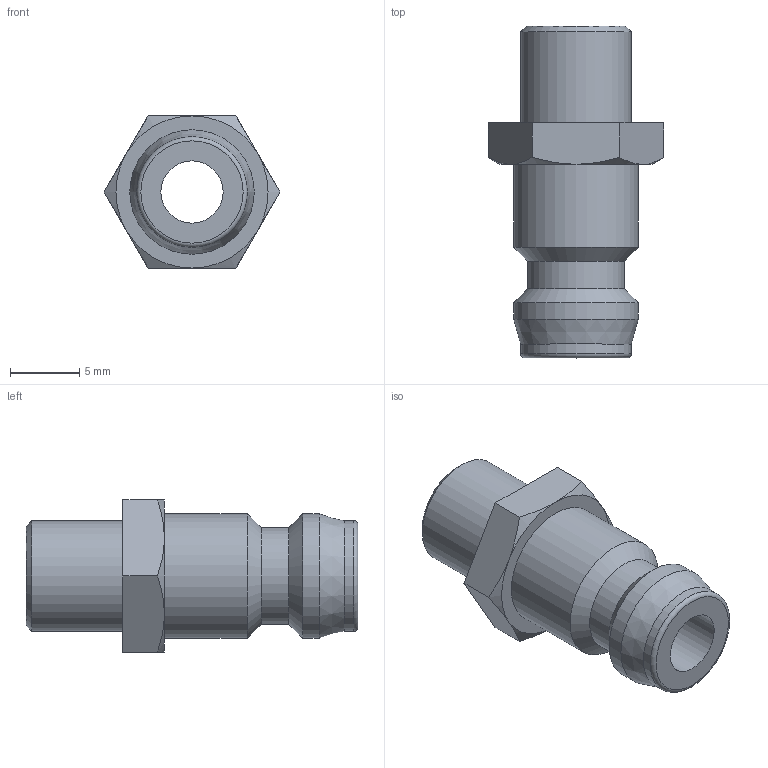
import cadquery as cq
import math


spigot_radius = 4.0
spigot_length = 7.0
spigot_chamfer = 0.4

hex_sides = 6
hex_across_flats = 11.0
hex_length = 3.0
hex_face_radius = hex_across_flats / 2
hex_chamfer_angle = 30.0

body_radius = 4.5
body_length = 6.0
groove_radius = 3.5
groove_floor_length = 2.0
groove_flank = body_radius - groove_radius
land_length = 1.2
taper_length = 1.8
nose_radius = 4.0
nose_length = 1.0
nose_fillet = 0.3

bore_radius = 2.25

hex_front = -hex_length
body_front = hex_front - body_length
groove_rear = body_front - groove_flank
groove_front = groove_rear - groove_floor_length
land_rear = groove_front - groove_flank
land_front = land_rear - land_length
nose_rear = land_front - taper_length
nose_front = nose_rear - nose_length


def revolve_about_y(profile):
    """Turn a closed XY half-profile a full revolution about the Y axis."""
    return profile.close().revolve(360, (0, 0, 0), (0, 1, 0))


def make_turned_body():
    """Spigot, body, locking groove and nose as one solid of revolution."""
    fillet_reach = nose_fillet * math.sqrt(0.5)
    fillet_middle = (
        nose_radius - nose_fillet + fillet_reach,
        nose_front + nose_fillet - fillet_reach,
    )
    profile = (
        cq.Workplane("XY")
        .moveTo(0, spigot_length)
        .lineTo(spigot_radius - spigot_chamfer, spigot_length)
        .lineTo(spigot_radius, spigot_length - spigot_chamfer)
        .lineTo(spigot_radius, hex_front)
        .lineTo(body_radius, hex_front)
        .lineTo(body_radius, body_front)
        .lineTo(groove_radius, groove_rear)
        .lineTo(groove_radius, groove_front)
        .lineTo(body_radius, land_rear)
        .lineTo(body_radius, land_front)
        .lineTo(nose_radius, nose_rear)
        .lineTo(nose_radius, nose_front + nose_fillet)
        .threePointArc(fillet_middle, (nose_radius - nose_fillet, nose_front))
        .lineTo(0, nose_front)
    )
    return revolve_about_y(profile)


def make_hex_collar():
    """Hexagon with corners on the X axis, its front corners turned off by a cone."""
    half_side_angle = math.pi / hex_sides
    across_corners = hex_across_flats / math.cos(half_side_angle)
    hexagon = cq.Workplane("XZ").polygon(hex_sides, across_corners).extrude(hex_length)
    cone_slope = math.tan(math.radians(hex_chamfer_angle))
    cone_base_radius = hex_face_radius + hex_length / cone_slope
    cone = revolve_about_y(
        cq.Workplane("XY")
        .moveTo(0, 0)
        .lineTo(cone_base_radius, 0)
        .lineTo(hex_face_radius, hex_front)
        .lineTo(0, hex_front)
    )
    return hexagon.intersect(cone)


def make_bore():
    """Cylinder that clears the whole length of the part."""
    bore_length = spigot_length - nose_front
    return (
        cq.Workplane("XZ", origin=(0, spigot_length, 0))
        .circle(bore_radius)
        .extrude(bore_length)
    )


result = make_turned_body().union(make_hex_collar()).cut(make_bore())